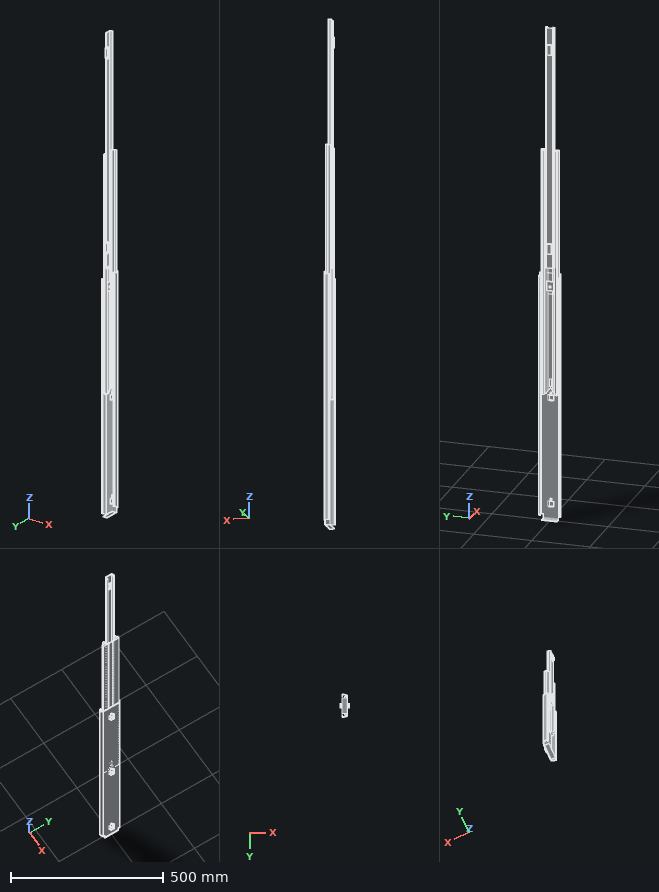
import cadquery as cq
import math


slide_depth = 19.05
slide_width = 76.2
extended_length = 1727.2
total_depth = 29.79
sheet = 2.5
lug_reach = (total_depth - slide_depth) / 2

outer_top = extended_length / 2
outer_bottom = 17.0
outer_wall_flat_end = 4.0
outer_web_half_width = 33.0
outer_lip_half_gap = 31.0
outer_lip_bevel = 2.5
outer_step_depth = 12.0
outer_step_height = 9.0
foot_half_width = 26.0
foot_bend_radius = 4.5

outer_lug_base = 45.5
outer_lug_pitch = 372.0
outer_lug_count = 3
outer_lug_length = 15.5
inner_lug_bases = (1667.0, 970.0)
inner_lug_length = 33.0
lug_half_width = 7.0
window_half_width = 10.0
window_clearance = 2.5
keyhole_half_width = 2.5
keyhole_length = 10.0

inner_bottom = 886.0
inner_half_width = 15.6
inner_web_half_width = 12.0
inner_depth = 11.0
inner_shoulder = 7.0

middle_top = 1297.0
middle_bottom = 442.0
middle_web_front = 12.5
middle_web_back = 15.5
middle_half_width = 31.0
middle_wall_half_width = 26.0
middle_cavity_half_width = 18.0
middle_flange_front = 8.5
middle_web_half_width = 13.0
middle_web_corner = 11.5
middle_groove_half_width = 8.0
middle_groove_depth = 1.0
raceway_depth = 2.0
vee_depth = 20.0
vee_half_width = 16.0
slot_bottom = 467.0
slot_top = 493.0
slot_width = 8.0

stop_bottom = 804.0
stop_top = 836.0
stop_half_width = 12.0
stop_front = 8.0
stop_hole_size = 6.0
stop_hole_height = 817.0


def box(x_range, y_range, z_range):
    """Box between two limits on each axis."""
    size = [high - low for low, high in (x_range, y_range, z_range)]
    corner = (x_range[0], y_range[0], z_range[0])
    return cq.Workplane("XY").box(*size, centered=False).translate(corner)


def centered_box(x_range, half_width, z_range):
    """Box that is symmetric about the plane Y = 0."""
    return box(x_range, (-half_width, half_width), z_range)


def rail(half_outline, bottom, top):
    """Rail with the given +Y half section, mirrored about the plane Y = 0."""
    half = half_outline.close().extrude(top - bottom).translate((0, 0, bottom))
    return half.union(half.mirror("XZ"))


def lug(face, outward, base, along, length):
    """L-shaped hook: a stem standing on the rail face, then a plate parallel to the face."""
    tip = face + outward * lug_reach
    root = face - outward * sheet
    end = base + along * length
    stem = centered_box(sorted((root, tip)), lug_half_width, sorted((base, base + along * sheet)))
    plate = centered_box(sorted((tip - outward * sheet, tip)), lug_half_width, sorted((base, end)))
    return stem.union(plate)


def make_outer_rail():
    half_width = slide_width / 2
    web_inside = slide_depth - sheet

    arc_run = slide_depth - outer_wall_flat_end
    arc_drop = half_width - outer_web_half_width
    outside_radius = (arc_run**2 + arc_drop**2) / (2 * arc_drop)
    inside_radius = outside_radius - sheet
    arc_center_y = half_width - outside_radius

    def on_arc(radius, x):
        """Point of the curved wall at depth x."""
        return (x, arc_center_y + math.sqrt(radius**2 - (x - outer_wall_flat_end) ** 2))

    middle_x = (outer_wall_flat_end + web_inside) / 2
    outline = (
        cq.Workplane("XY")
        .moveTo(slide_depth, 0)
        .lineTo(slide_depth, outer_web_half_width)
        .threePointArc(on_arc(outside_radius, middle_x), (outer_wall_flat_end, half_width))
        .lineTo(outer_lip_bevel, half_width)
        .lineTo(0, half_width - outer_lip_bevel)
        .lineTo(0, outer_lip_half_gap)
        .lineTo(sheet, outer_lip_half_gap)
        .lineTo(sheet, half_width - sheet)
        .lineTo(outer_wall_flat_end, half_width - sheet)
        .threePointArc(on_arc(inside_radius, middle_x), on_arc(inside_radius, web_inside))
        .lineTo(web_inside, 0)
    )
    body = rail(outline, outer_bottom, outer_top)

    step = (outer_top - outer_step_height, outer_top)
    body = body.cut(centered_box((0, outer_step_depth), half_width, step))

    web = (web_inside, slide_depth)
    foot = centered_box((0, slide_depth), foot_half_width, (0, outer_bottom))
    hollow = centered_box((0, web_inside), foot_half_width, (sheet, outer_bottom))
    foot = foot.cut(hollow.edges("|Y and >X and <Z").fillet(foot_bend_radius - sheet))
    foot = foot.edges("|Y and >X and <Z").fillet(foot_bend_radius)
    body = body.union(foot)

    for index in range(outer_lug_count):
        base = outer_lug_base + index * outer_lug_pitch
        window_top = base + outer_lug_length + window_clearance
        body = body.cut(centered_box(web, window_half_width, (base, window_top)))
        keyhole = (window_top, window_top + keyhole_length)
        body = body.cut(centered_box(web, keyhole_half_width, keyhole))
        body = body.union(lug(slide_depth, 1, base - sheet, 1, outer_lug_length + sheet))
    return body


def make_middle_rail():
    lobe_crest = middle_flange_front / 2
    outline = (
        cq.Workplane("XY")
        .moveTo(middle_web_back, 0)
        .lineTo(middle_web_back, middle_half_width)
        .lineTo(middle_flange_front, middle_half_width)
        .lineTo(middle_flange_front, middle_wall_half_width)
        .threePointArc(
            (lobe_crest, middle_wall_half_width),
            (0, middle_wall_half_width - raceway_depth),
        )
        .lineTo(0, middle_cavity_half_width)
        .lineTo(sheet, middle_cavity_half_width)
        .threePointArc(
            ((sheet + middle_web_corner) / 2, middle_cavity_half_width + raceway_depth),
            (middle_web_corner, middle_cavity_half_width),
        )
        .lineTo(middle_web_front, middle_web_half_width)
        .lineTo(middle_web_front, middle_groove_half_width)
        .lineTo(middle_web_front + middle_groove_depth, middle_groove_half_width)
        .lineTo(middle_web_front + middle_groove_depth, 0)
    )
    body = rail(outline, middle_bottom, middle_top)
    through_web = (middle_web_front, middle_web_back)

    vee = (
        cq.Workplane("YZ", origin=(middle_web_front, 0, middle_bottom))
        .polyline([(-vee_half_width, 0), (0, vee_depth), (vee_half_width, 0)])
        .close()
        .extrude(middle_web_back - middle_web_front)
    )
    body = body.cut(vee)

    return body.cut(centered_box(through_web, slot_width / 2, (slot_bottom, slot_top)))


def make_inner_rail():
    outline = (
        cq.Workplane("XY")
        .moveTo(0, 0)
        .lineTo(0, inner_web_half_width)
        .lineTo(inner_shoulder, inner_half_width)
        .threePointArc(
            ((inner_shoulder + inner_depth) / 2, inner_half_width - raceway_depth),
            (inner_depth, inner_half_width),
        )
        .lineTo(inner_depth, inner_web_half_width - sheet)
        .lineTo(sheet, inner_web_half_width - sheet)
        .lineTo(sheet, 0)
    )
    body = rail(outline, inner_bottom, extended_length)
    for base in inner_lug_bases:
        window_bottom = base - inner_lug_length - window_clearance
        body = body.cut(centered_box((0, sheet), window_half_width, (window_bottom, base)))
        body = body.union(lug(0, -1, base + sheet, -1, inner_lug_length + sheet))
    return body


def make_stop_block():
    block_depth = (stop_front, middle_web_front)
    block = centered_box(block_depth, stop_half_width, (stop_bottom, stop_top))
    half = stop_hole_size / 2
    hole = centered_box(block_depth, half, (stop_hole_height - half, stop_hole_height + half))
    return block.cut(hole)


outer_rail = make_outer_rail()
middle_rail = make_middle_rail()
inner_rail = make_inner_rail()
stop_block = make_stop_block()

result = cq.Compound.makeCompound(
    [outer_rail.val(), middle_rail.val(), inner_rail.val(), stop_block.val()]
)